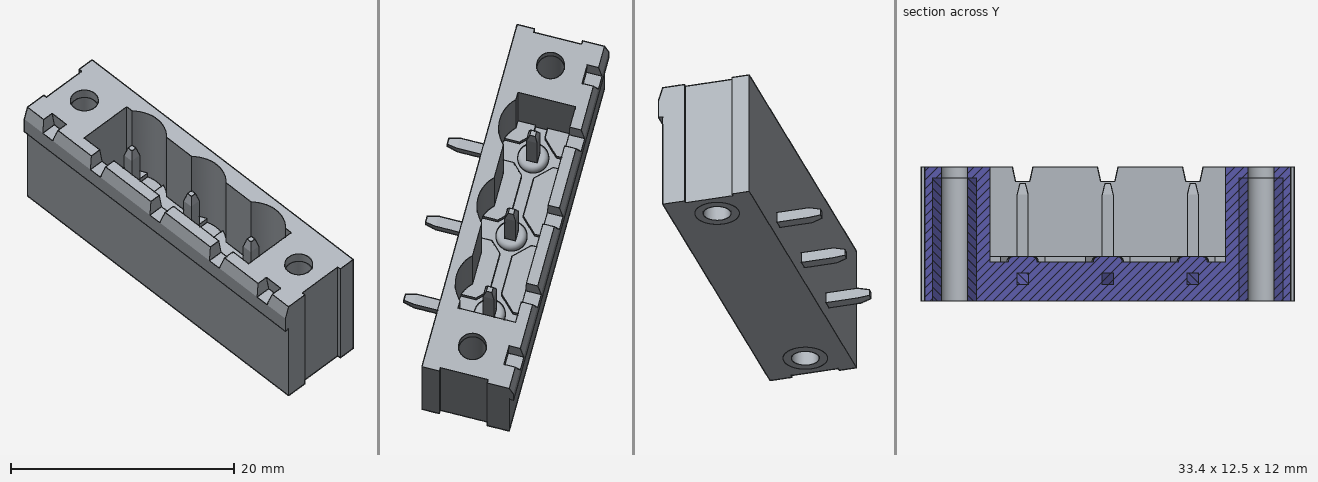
import cadquery as cq
import math


pole_count = 3
pitch = 7.62
housing_length = 33.44
housing_height = 12.0
back_y = 3.9
front_y = -4.2

lip_projection = 0.4
lip_height = 3.0
lip_slope_height = 1.3
lip_front_y = front_y - lip_projection

end_slot_depth = 0.33
end_slot_back_y = 2.27
end_slot_front_y = -2.15

pocket_length = 21.06
pocket_back_y = 2.18
pocket_front_y = -3.15
pocket_lobe_radius = 3.1
channel_floor_z = 3.5
land_height = 0.5
land_top_z = channel_floor_z + land_height

cross_channel_width = 1.1
back_channel_width = 2.0
front_channel_width = 1.1
diamond_half_diagonal = 2.54

boss_diameter = 2.8
boss_height = 0.5
boss_round = 0.45

notch_top_width = 1.82
notch_floor_width = 1.25

pin_width = 1.0
pin_taper_length = 1.0
contact_tip_width = 0.5
contact_top_z = 10.5
solder_tip_width = 0.6
solder_projection = 4.0
solder_axis_z = 2.0

mount_edge_distance = 3.0
mount_bore_diameter = 2.5
sleeve_outer_diameter = 4.0
sleeve_top_depth = 1.0
sleeve_height = housing_height - sleeve_top_depth

pin_xs = [(i - (pole_count - 1) / 2) * pitch for i in range(pole_count)]
mount_x = housing_length / 2 - mount_edge_distance
mount_points = [(-mount_x, 0), (mount_x, 0)]


def block(x_range, y_range, z_range):
    """Box between the given limits."""
    low, high = zip(x_range, y_range, z_range)
    sizes = [b - a for a, b in zip(low, high)]
    return cq.Workplane("XY").box(*sizes, centered=False).translate(low)


def make_shell():
    """Side profile with the front lip, run along the length, with the end slots cut."""
    profile = [
        (back_y, 0),
        (back_y, housing_height),
        (front_y, housing_height),
        (lip_front_y, housing_height - lip_slope_height),
        (lip_front_y, housing_height - lip_height),
        (front_y, housing_height - lip_height),
        (front_y, 0),
    ]
    half_length = housing_length / 2
    shell = cq.Workplane("YZ").polyline(profile).close().extrude(half_length, both=True)
    slot_floor_x = half_length - end_slot_depth
    slot_y = (end_slot_front_y, end_slot_back_y)
    for x_range in [(-half_length, -slot_floor_x), (slot_floor_x, half_length)]:
        shell = shell.cut(block(x_range, slot_y, (0, housing_height)))
    return shell


def make_pocket(floor_z):
    """Rectangular pocket volume with a round lobe in the back wall behind each pin."""
    half_chord = math.sqrt(pocket_lobe_radius**2 - pocket_back_y**2)
    half_length = pocket_length / 2
    outline = cq.Workplane("XY", origin=(0, 0, floor_z)).moveTo(half_length, pocket_front_y)
    outline = outline.lineTo(-half_length, pocket_front_y).lineTo(-half_length, pocket_back_y)
    for x in pin_xs:
        outline = outline.lineTo(x - half_chord, pocket_back_y)
        outline = outline.threePointArc((x, pocket_lobe_radius), (x + half_chord, pocket_back_y))
    outline = outline.lineTo(half_length, pocket_back_y).close()
    return outline.extrude(housing_height - floor_z)


def make_channels():
    """Channel pattern: one lengthwise channel and, at each pin, a diamond with two cross channels."""
    z_range = (channel_floor_z, land_top_z)
    half_cross = cross_channel_width / 2
    channels = block((-pocket_length / 2, pocket_length / 2), (-half_cross, half_cross), z_range)
    diamond = [
        (diamond_half_diagonal, 0),
        (0, diamond_half_diagonal),
        (-diamond_half_diagonal, 0),
        (0, -diamond_half_diagonal),
    ]
    for x in pin_xs:
        diamond_plane = cq.Workplane("XY", origin=(x, 0, channel_floor_z))
        channels = channels.union(diamond_plane.polyline(diamond).close().extrude(land_height))
        half_back = back_channel_width / 2
        channels = channels.union(block((x - half_back, x + half_back), (0, pocket_lobe_radius), z_range))
        half_front = front_channel_width / 2
        channels = channels.union(block((x - half_front, x + half_front), (pocket_front_y, 0), z_range))
    return channels.intersect(make_pocket(channel_floor_z))


def make_boss(x):
    """Round boss with a rounded top edge on the channel floor."""
    boss = cq.Workplane("XY", origin=(x, 0, channel_floor_z))
    boss = boss.circle(boss_diameter / 2).extrude(boss_height)
    return boss.faces(">Z").edges().fillet(boss_round)


def make_notch(x):
    """Notch through the front wall, narrowing from the top down to the foot of the lip's slope."""
    half_top = notch_top_width / 2
    half_floor = notch_floor_width / 2
    floor_z = housing_height - lip_slope_height
    profile = [
        (x - half_top, housing_height),
        (x + half_top, housing_height),
        (x + half_floor, floor_z),
        (x - half_floor, floor_z),
    ]
    notch = cq.Workplane("XZ", origin=(0, pocket_front_y, 0)).polyline(profile).close()
    return notch.extrude(pocket_front_y - lip_front_y)


def make_tapered_end(plane, tip_width):
    """Square pyramid frustum that narrows from the pin width to the tip width."""
    end = cq.Workplane(plane).rect(pin_width, pin_width)
    return end.workplane(offset=pin_taper_length).rect(tip_width, tip_width).loft(ruled=True)


def make_pin(x):
    """Square pin bent at a right angle, with a contact end upward and a solder end to the back."""
    half = pin_width / 2
    x_range = (x - half, x + half)
    contact_taper_z = contact_top_z - pin_taper_length
    solder_taper_y = back_y + solder_projection - pin_taper_length
    upright = block(x_range, (-half, half), (solder_axis_z - half, contact_taper_z))
    tail = block(x_range, (-half, solder_taper_y), (solder_axis_z - half, solder_axis_z + half))
    contact_plane = cq.Plane(origin=(x, 0, contact_taper_z), normal=(0, 0, 1))
    solder_plane = cq.Plane(origin=(x, solder_taper_y, solder_axis_z), xDir=(1, 0, 0), normal=(0, 1, 0))
    pin = upright.union(tail)
    pin = pin.union(make_tapered_end(contact_plane, contact_tip_width))
    return pin.union(make_tapered_end(solder_plane, solder_tip_width))


def make_sleeve(point):
    """Sleeve under the top of a mounting hole, reaching the underside of the housing."""
    sleeve = cq.Workplane("XY").center(*point)
    return sleeve.circle(sleeve_outer_diameter / 2).circle(mount_bore_diameter / 2).extrude(sleeve_height)


def make_housing(pins):
    """Shell with its pocket, channels, bosses, notches, mounting holes and pin passages."""
    housing = make_shell().cut(make_pocket(land_top_z)).cut(make_channels())
    for x in pin_xs:
        housing = housing.union(make_boss(x))
    for x in [-mount_x, *pin_xs, mount_x]:
        housing = housing.cut(make_notch(x))
    mounts = cq.Workplane("XY").pushPoints(mount_points)
    bores = mounts.circle(mount_bore_diameter / 2).extrude(housing_height)
    seats = mounts.circle(sleeve_outer_diameter / 2).extrude(sleeve_height)
    housing = housing.cut(bores).cut(seats)
    for pin in pins:
        housing = housing.cut(pin)
    return housing


pins = [make_pin(x) for x in pin_xs]
sleeves = [make_sleeve(point) for point in mount_points]
housing = make_housing(pins)

result = cq.Compound.makeCompound([
    *housing.solids().vals(),
    *[pin.solids().val() for pin in pins],
    *[sleeve.solids().val() for sleeve in sleeves],
])